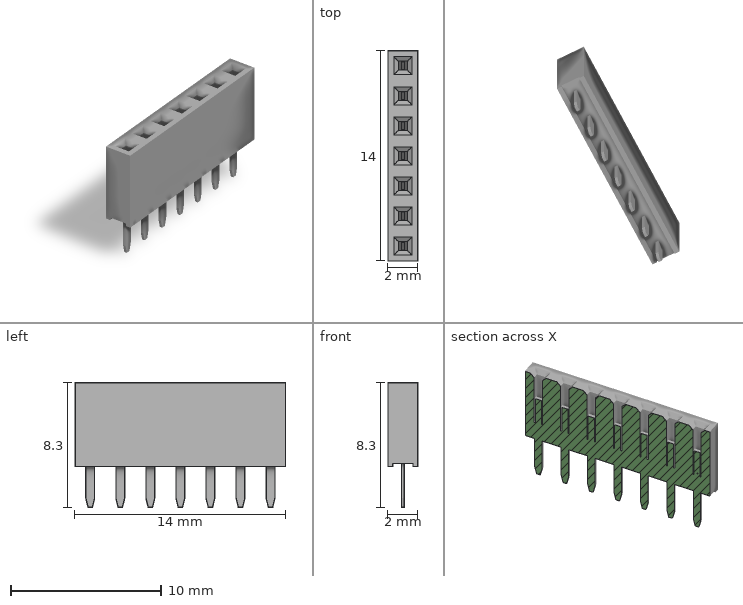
import cadquery as cq

CONTACT_COUNT = 7
PITCH = 2.0
HOUSING_WIDTH = 2.0
HOUSING_LENGTH = CONTACT_COUNT * PITCH
HOUSING_HEIGHT = 5.6

CHANNEL_WIDTH = 1.33
CHANNEL_DEPTH = 0.2

MOUTH_SIZE = 1.2
THROAT_SIZE = 0.6
FUNNEL_DEPTH = 0.3
SOCKET_DEPTH = 4.0
SOCKET_FLOOR = HOUSING_HEIGHT - SOCKET_DEPTH

PIN_THICKNESS = 0.2
PIN_WIDTH = 0.6
PIN_LENGTH = 2.7
PIN_TIP_WIDTH = 0.3
PIN_TAPER_LENGTH = 0.6

BLADE_WIDTH = 0.5
BLADE_HEIGHT = 2.0

CONTACT_POSITIONS = [(i - (CONTACT_COUNT - 1) / 2) * PITCH for i in range(CONTACT_COUNT)]


def make_box(width, length, bottom, top):
    """Box centred on the Z axis between two heights."""
    return (
        cq.Workplane("XY")
        .workplane(offset=bottom)
        .rect(width, length)
        .extrude(top - bottom)
    )


def make_housing():
    """Rectangular housing with a shallow channel along its underside."""
    body = make_box(HOUSING_WIDTH, HOUSING_LENGTH, 0, HOUSING_HEIGHT)
    channel = make_box(CHANNEL_WIDTH, HOUSING_LENGTH, 0, CHANNEL_DEPTH)
    return body.cut(channel)


def make_socket():
    """Square socket with a funnel-shaped mouth."""
    throat = make_box(THROAT_SIZE, THROAT_SIZE, SOCKET_FLOOR, HOUSING_HEIGHT)
    funnel = (
        cq.Workplane("XY")
        .workplane(offset=HOUSING_HEIGHT)
        .rect(MOUTH_SIZE, MOUTH_SIZE)
        .workplane(offset=-FUNNEL_DEPTH)
        .rect(THROAT_SIZE, THROAT_SIZE)
        .loft(ruled=True)
    )
    return throat.union(funnel)


def make_pin():
    """Flat solder pin with a tapered tip, reaching up to the channel roof."""
    taper_start = PIN_TAPER_LENGTH - PIN_LENGTH
    outline = [
        (-PIN_WIDTH / 2, CHANNEL_DEPTH),
        (-PIN_WIDTH / 2, taper_start),
        (-PIN_TIP_WIDTH / 2, -PIN_LENGTH),
        (PIN_TIP_WIDTH / 2, -PIN_LENGTH),
        (PIN_WIDTH / 2, taper_start),
        (PIN_WIDTH / 2, CHANNEL_DEPTH),
    ]
    return cq.Workplane("YZ").polyline(outline).close().extrude(PIN_THICKNESS / 2, both=True)


def make_blade():
    """Contact blade rising from the socket floor."""
    return make_box(PIN_THICKNESS, BLADE_WIDTH, SOCKET_FLOOR, SOCKET_FLOOR + BLADE_HEIGHT)


result = make_housing()
for y in CONTACT_POSITIONS:
    result = result.cut(make_socket().translate((0, y, 0)))
    result = result.union(make_pin().translate((0, y, 0)))
    result = result.union(make_blade().translate((0, y, 0)))